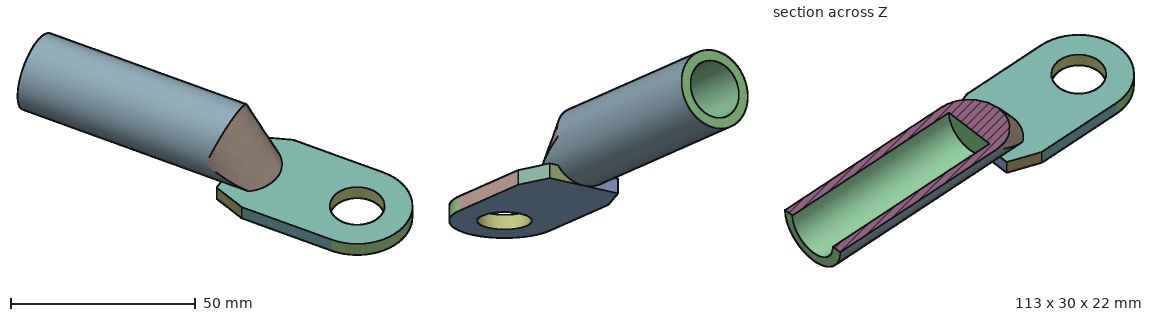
import cadquery as cq
import math

total_length = 113.0
barrel_diameter = 22.0
bore_diameter = 16.0
barrel_top_length = 61.0
crease_x = 57.6
nose_toe_x = 76.6

palm_width = 30.0
palm_thickness = 4.2
palm_start_x = barrel_top_length
neck_width = 22.7
shoulder_x = 70.6
hole_diameter = 14.8

barrel_radius = barrel_diameter / 2
palm_radius = palm_width / 2
eye_x = total_length - palm_radius


def side_prism(points):
    """Extrude an XZ outline across the full width of the barrel."""
    return cq.Workplane("XZ").polyline(points).close().extrude(barrel_radius, both=True)


def make_barrel():
    """Round bar whose end is cut by the two crease planes."""
    bar = cq.Workplane("YZ").center(0, barrel_radius).circle(barrel_radius).extrude(nose_toe_x)
    outline = [
        (0, 0),
        (nose_toe_x, 0),
        (crease_x, barrel_radius),
        (barrel_top_length, barrel_diameter),
        (0, barrel_diameter),
    ]
    return bar.intersect(side_prism(outline))


def make_nose():
    """Slanted elliptical cylinder that joins the two creases of the barrel end."""
    slope_run = nose_toe_x - barrel_top_length
    slope_length = math.hypot(slope_run, barrel_diameter)
    crest_height = (
        (barrel_top_length - crease_x) * barrel_diameter + barrel_radius * slope_run
    ) / slope_length
    slope_plane = cq.Plane(
        origin=(crease_x, 0, barrel_radius),
        xDir=(0, 1, 0),
        normal=(slope_run, 0, -barrel_diameter),
    )
    rod = (
        cq.Workplane(slope_plane)
        .workplane(offset=-slope_length)
        .ellipse(barrel_radius, crest_height)
        .extrude(2 * slope_length)
    )
    outline = [
        (crease_x, barrel_radius),
        (barrel_top_length, barrel_diameter),
        (nose_toe_x, 0),
    ]
    return rod.intersect(side_prism(outline))


def make_palm():
    """Flat tongue with a widening neck and a round end."""
    return (
        cq.Workplane("XY")
        .moveTo(palm_start_x, -neck_width / 2)
        .lineTo(shoulder_x, -palm_radius)
        .lineTo(eye_x, -palm_radius)
        .threePointArc((total_length, 0), (eye_x, palm_radius))
        .lineTo(shoulder_x, palm_radius)
        .lineTo(palm_start_x, neck_width / 2)
        .close()
        .extrude(palm_thickness)
    )


bore = cq.Workplane("YZ").center(0, barrel_radius).circle(bore_diameter / 2).extrude(crease_x)

bolt_hole = cq.Workplane("XY").center(eye_x, 0).circle(hole_diameter / 2).extrude(palm_thickness)

result = make_barrel().union(make_nose()).union(make_palm()).cut(bore).cut(bolt_hole)